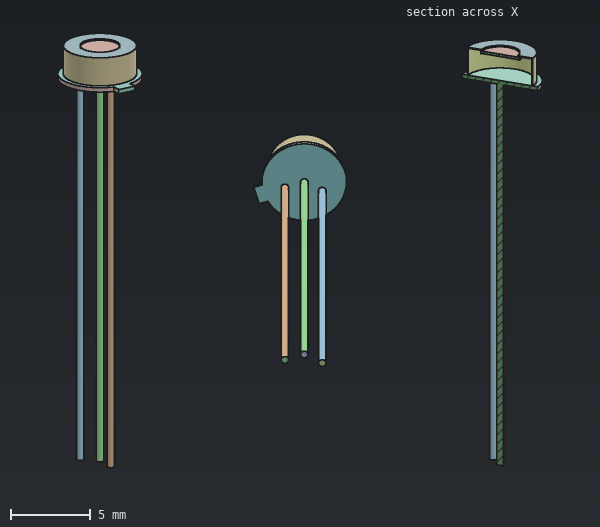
import cadquery as cq
import math

total_height = 27.56
pin_length = 25.4

flange_diameter = 5.3
flange_thickness = 0.3
tab_reach = 3.15
tab_width = 1.2

cap_diameter = 4.6
cap_inner_diameter = 4.4
cap_wall = (cap_diameter - cap_inner_diameter) / 2
cap_top = total_height - pin_length
cap_ceiling = cap_top - cap_wall

opening_diameter = 2.5
window_diameter = 2.7
window_thickness = 0.2

pin_diameter = 0.48
pin_circle_radius = 1.27
outer_pin_angles = (0, 225)


def disc(diameter, bottom, top):
    """Cylinder on the Z axis between two heights."""
    return cq.Workplane("XY").workplane(offset=bottom).circle(diameter / 2).extrude(top - bottom)


def make_flange():
    """Round flange on z = 0 with a square-ended tab toward +X."""
    tab = cq.Workplane("XY").rect(tab_reach, tab_width).extrude(flange_thickness)
    return disc(flange_diameter, 0, flange_thickness).union(tab.translate((tab_reach / 2, 0, 0)))


def make_cap():
    """Hollow cap with a round opening closed from inside by the window."""
    shell = disc(cap_diameter, flange_thickness, cap_top)
    shell = shell.cut(disc(cap_inner_diameter, flange_thickness, cap_ceiling))
    shell = shell.cut(disc(opening_diameter, cap_ceiling, cap_top))
    return shell.union(disc(window_diameter, cap_ceiling - window_thickness, cap_ceiling))


def make_pins():
    """Round leads hanging below the flange."""
    centers = [(0, 0)]
    for angle in outer_pin_angles:
        turn = math.radians(angle)
        centers.append((pin_circle_radius * math.cos(turn), pin_circle_radius * math.sin(turn)))
    return cq.Workplane("XY").pushPoints(centers).circle(pin_diameter / 2).extrude(-pin_length)


result = make_flange().union(make_cap()).union(make_pins())